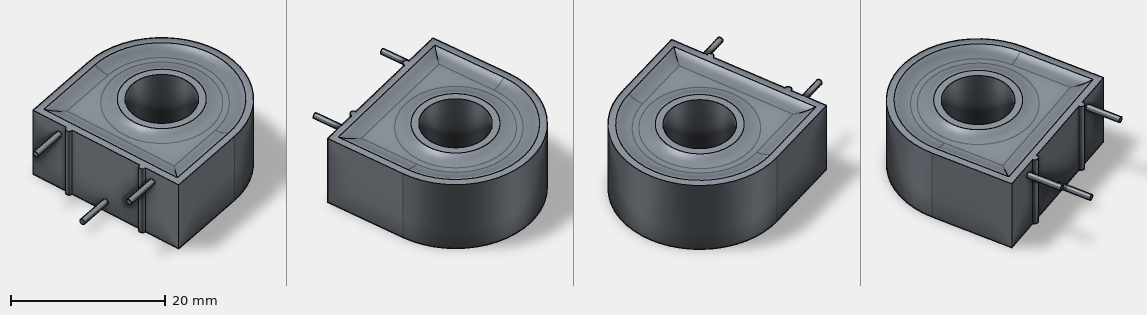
import cadquery as cq
import math

body_width = 23.8
body_height = 11.12
body_radius = body_width / 2
overall_length = 28.8
bore_radius = 4.75

rim_width = 1.0
bank_width = 2.13
recess_depth = 0.65
recess_radius = body_radius - rim_width
hub_radius = bore_radius + rim_width
floor_z = body_height - recess_depth

rib_radius = 0.5
rib_spacing = 11.95
pin_radius = 0.4
pin_pitch = 7.6
front_y = -body_radius
pin_end_y = body_radius - overall_length

bank_arc_radius = (bank_width**2 + recess_depth**2) / (2 * recess_depth)
bank_mid_rise = bank_arc_radius - math.sqrt(bank_arc_radius**2 - (bank_width / 2) ** 2)


def add_bank(profile, foot, top):
    """Draw a concave bank upward from its foot to its top edge."""
    middle = ((foot + top) / 2, floor_z + bank_mid_rise)
    return profile.threePointArc(middle, (top, body_height))


def recess_half_profile(plane):
    """Section of the recess from its centre line out to the rim."""
    floor_edge = recess_radius - bank_width
    profile = cq.Workplane(plane).moveTo(0, body_height).lineTo(0, floor_z).lineTo(floor_edge, floor_z)
    return add_bank(profile, floor_edge, recess_radius).close()


def make_body():
    square = cq.Workplane("XY").box(body_width, body_radius, body_height, centered=(True, False, False))
    square = square.translate((0, front_y, 0))
    return square.union(cq.Workplane("XY").circle(body_radius).extrude(body_height))


def make_recess():
    """Round recess plus a square front part whose banks meet in mitres."""
    round_part = recess_half_profile("XZ").revolve(360, (0, 0, 0), (0, 1, 0))
    right_side = recess_half_profile("XZ").extrude(recess_radius)
    both_sides = right_side.union(right_side.mirror("YZ"))
    front_side = recess_half_profile("YZ").extrude(recess_radius, both=True).mirror("XZ")
    return round_part.union(both_sides.intersect(front_side))


def make_hub():
    """Hub standing on the recess floor, flush with the rim."""
    foot_radius = hub_radius + bank_width
    profile = cq.Workplane("XZ").moveTo(0, body_height).lineTo(0, floor_z).lineTo(foot_radius, floor_z)
    return add_bank(profile, foot_radius, hub_radius).close().revolve(360, (0, 0, 0), (0, 1, 0))


def make_ribs():
    centers = [(side * rib_spacing / 2, front_y) for side in (-1, 1)]
    return cq.Workplane("XY").pushPoints(centers).circle(rib_radius).extrude(body_height)


def make_pins():
    """Two upper pins and one lower central pin, evenly placed about mid height."""
    upper_z = (body_height + pin_pitch) / 2
    lower_z = (body_height - pin_pitch) / 2
    centers = [(-pin_pitch, upper_z), (pin_pitch, upper_z), (0, lower_z)]
    face = cq.Workplane("XZ", origin=(0, front_y, 0))
    return face.pushPoints(centers).circle(pin_radius).extrude(front_y - pin_end_y)


bore = cq.Workplane("XY").circle(bore_radius).extrude(body_height)

result = make_body().union(make_ribs())
result = result.cut(make_recess().cut(make_hub()))
result = result.cut(bore).union(make_pins())